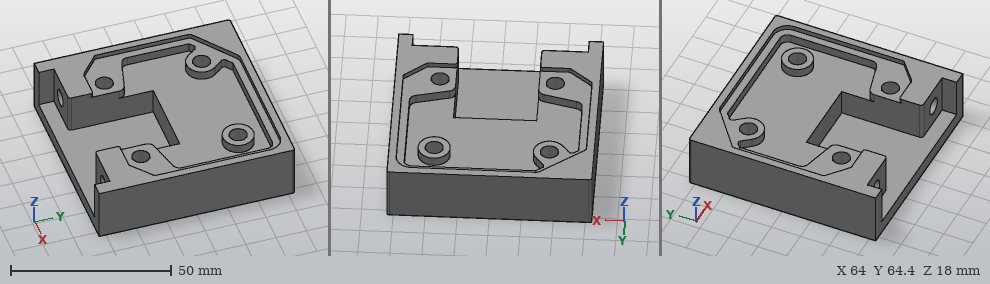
import cadquery as cq
import math

width = 64.0
length = 64.38
height = 18.0
rear_corner_radius = 0.8

floor_z = 4.5
shelf_depth = 1.6
pocket_depth = 3.0
shelf_z = height - shelf_depth
pocket_z = shelf_z - pocket_depth

side_wall = 4.5
notch_depth = 5.0
slot_width = 26.0
slot_end_y = 32.8
slot_corner_radius = 1.0

shelf_inset = 2.5
land_width = 2.5
shelf_half_width = width / 2 - shelf_inset
shelf_rear_y = length - shelf_inset
shelf_front_y = 13.0
pocket_half_width = shelf_half_width - land_width
pocket_rear_y = shelf_rear_y - land_width
shelf_round_radius = 5.0
pocket_round_radius = shelf_round_radius - land_width

bevel_width = 14.5
bevel_depth = 11.4
bevel_angle = math.degrees(math.atan2(bevel_depth, bevel_width))
bevel_rear_radius = 2.5
bevel_side_radius = 1.5
front_bevel_width = 7.2
front_bevel_depth = 6.1
front_bevel_radius = 1.0
shelf_mouth_radius = 0.7

pocket_front_side_y = 27.0
pocket_front_slot_y = 23.4
pocket_mouth_radius = 2.3

hole_diameter = 5.6
hole_depth = 10.0
hole_x = 18.0
hole_pitch_y = 32.0
front_hole_y = 18.38
rear_hole_y = front_hole_y + hole_pitch_y
boss_diameter = 10.0
web_corner_radius = 1.0

front_hole_x = 21.2
front_hole_z = (floor_z + height) / 2
front_hole_depth = 8.0


def prism(points, bottom, top):
    return cq.Workplane("XY", origin=(0, 0, bottom)).polyline(points).close().extrude(top - bottom)


def box(x_min, x_max, y_min, y_max, bottom, top):
    corners = [(x_min, y_min), (x_max, y_min), (x_max, y_max), (x_min, y_max)]
    return prism(corners, bottom, top)


def round_corners(solid, points, radius):
    """Round the vertical edges that stand on the given XY points."""
    middle_z = solid.val().Center().z
    for x, y in points:
        edge = solid.edges("|Z").edges(cq.NearestToPointSelector((x, y, middle_z)))
        solid = edge.fillet(radius)
    return solid


def mirrored(x, y):
    """Return a point and its mirror image across X = 0, left one first."""
    return [(-x, y), (x, y)]


def make_block():
    block = box(-width / 2, width / 2, 0, length, 0, height)
    return round_corners(block, mirrored(width / 2, length), rear_corner_radius)


def make_entrance():
    notch_half_width = width / 2 - side_wall
    slot_half_width = slot_width / 2
    notch = box(-notch_half_width, notch_half_width, 0, notch_depth, floor_z, height)
    slot = box(-slot_half_width, slot_half_width, 0, slot_end_y, floor_z, height)
    return round_corners(notch.union(slot), mirrored(slot_half_width, notch_depth), slot_corner_radius)


def make_shelf_recess():
    slot_half_width = slot_width / 2
    bevel_side = (-shelf_half_width, shelf_rear_y - bevel_depth)
    bevel_rear = (-shelf_half_width + bevel_width, shelf_rear_y)
    round_corner = (shelf_half_width, shelf_rear_y)
    front_side = mirrored(shelf_half_width, shelf_front_y + front_bevel_depth)
    front_inner = mirrored(shelf_half_width - front_bevel_width, shelf_front_y)
    mouth = mirrored(slot_half_width, shelf_front_y)
    mouth_front = mirrored(slot_half_width, notch_depth)
    outline = [
        bevel_side, bevel_rear, round_corner,
        front_side[1], front_inner[1], mouth[1], mouth_front[1],
        mouth_front[0], mouth[0], front_inner[0], front_side[0],
    ]
    recess = prism(outline, shelf_z, height)
    recess = round_corners(recess, [round_corner], shelf_round_radius)
    recess = round_corners(recess, [bevel_rear], bevel_rear_radius)
    recess = round_corners(recess, [bevel_side], bevel_side_radius)
    recess = round_corners(recess, front_side + front_inner, front_bevel_radius)
    return round_corners(recess, mouth, shelf_mouth_radius)


def make_boss_web():
    """Bar of boss width from the rear left hole out to the land along the slanted corner."""
    reach = 2 * boss_diameter
    web = box(-boss_diameter / 2, boss_diameter / 2, 0, reach, pocket_z, shelf_z)
    web = web.rotate((0, 0, 0), (0, 0, 1), bevel_angle)
    return web.translate((-hole_x, rear_hole_y, 0))


def web_corners():
    """Points where the sides of the web meet the slanted edge of the pocket."""
    angle = math.radians(bevel_angle)
    along = (math.cos(angle), math.sin(angle))
    outward = (-along[1], along[0])
    to_bevel_x = -shelf_half_width + hole_x
    to_bevel_y = shelf_rear_y - bevel_depth - rear_hole_y
    reach = to_bevel_x * outward[0] + to_bevel_y * outward[1] - land_width
    corners = []
    for offset in (-boss_diameter / 2, boss_diameter / 2):
        x = -hole_x + offset * along[0] + reach * outward[0]
        y = rear_hole_y + offset * along[1] + reach * outward[1]
        corners.append((x, y))
    return corners


def make_pocket():
    slot_half_width = slot_width / 2
    angle = math.radians(bevel_angle)
    bevel_side_y = shelf_rear_y - bevel_depth - land_width * (1 / math.cos(angle) - math.tan(angle))
    bevel_rear_x = -shelf_half_width + bevel_width + land_width * (1 / math.sin(angle) - 1 / math.tan(angle))
    round_corner = (pocket_half_width, pocket_rear_y)
    front_side = mirrored(pocket_half_width, pocket_front_side_y)
    mouth = mirrored(slot_half_width, pocket_front_slot_y)
    mouth_front = mirrored(slot_half_width, shelf_front_y)
    outline = [
        (-pocket_half_width, bevel_side_y), (bevel_rear_x, pocket_rear_y), round_corner,
        front_side[1], mouth[1], mouth_front[1],
        mouth_front[0], mouth[0], front_side[0],
    ]
    pocket = prism(outline, pocket_z, shelf_z)
    pocket = round_corners(pocket, [round_corner] + front_side, pocket_round_radius)
    pocket = round_corners(pocket, mouth, pocket_mouth_radius)
    bosses = (
        cq.Workplane("XY", origin=(0, 0, pocket_z))
        .pushPoints(mirrored(hole_x, rear_hole_y))
        .circle(boss_diameter / 2)
        .extrude(shelf_z - pocket_z)
    )
    pocket = pocket.cut(make_boss_web()).cut(bosses)
    return round_corners(pocket, web_corners(), web_corner_radius)


def make_vertical_holes():
    centres = mirrored(hole_x, front_hole_y) + mirrored(hole_x, rear_hole_y)
    plane = cq.Workplane("XY", origin=(0, 0, shelf_z))
    return plane.pushPoints(centres).circle(hole_diameter / 2).extrude(-hole_depth)


def make_front_holes():
    plane = cq.Workplane("XZ", origin=(0, notch_depth, 0))
    centres = mirrored(front_hole_x, front_hole_z)
    return plane.pushPoints(centres).circle(hole_diameter / 2).extrude(-front_hole_depth)


result = (
    make_block()
    .cut(make_entrance())
    .cut(make_shelf_recess())
    .cut(make_pocket())
    .cut(make_vertical_holes())
    .cut(make_front_holes())
)